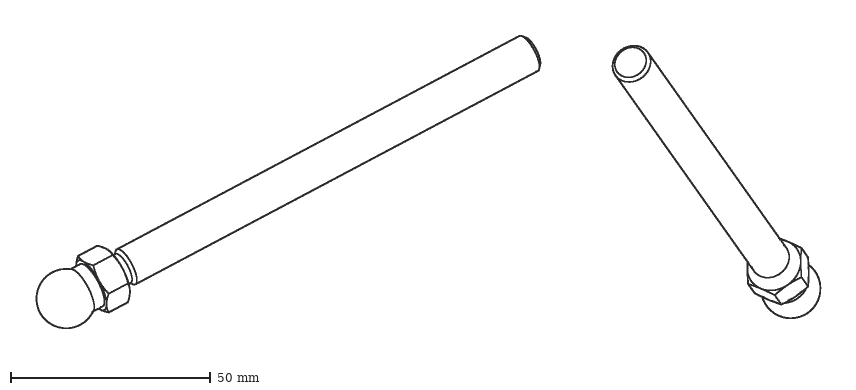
import cadquery as cq
import math

total_length = 147.0
ball_radius = 7.5
collar_radius = 6.0
hex_across_corners = 16.2
hex_length = 7.0
hex_front = 15.0
hex_chamfer_angle = 30.0
shaft_radius = 5.0
shaft_end_chamfer = 0.9
undercut_radius = 4.1
undercut_fillet = 0.7
undercut_length = 3.4

tip_y = -total_length / 2
end_y = total_length / 2
ball_y = tip_y + ball_radius
ball_seat_y = ball_y + math.sqrt(ball_radius**2 - collar_radius**2)
hex_front_y = tip_y + hex_front
hex_back_y = hex_front_y + hex_length
shaft_start_y = hex_back_y + undercut_length
taper_start_y = shaft_start_y - (shaft_radius - undercut_radius)
fillet_mid = undercut_fillet * (1 - math.sqrt(0.5))


def turned_body():
    """Revolved outline of the ball, collar, undercut and shaft."""
    outline = (
        cq.Workplane("XY")
        .moveTo(0, tip_y)
        .threePointArc((ball_radius, ball_y), (collar_radius, ball_seat_y))
        .lineTo(collar_radius, hex_back_y)
        .lineTo(undercut_radius + undercut_fillet, hex_back_y)
        .threePointArc(
            (undercut_radius + fillet_mid, hex_back_y + fillet_mid),
            (undercut_radius, hex_back_y + undercut_fillet),
        )
        .lineTo(undercut_radius, taper_start_y)
        .lineTo(shaft_radius, shaft_start_y)
        .lineTo(shaft_radius, end_y - shaft_end_chamfer)
        .lineTo(shaft_radius - shaft_end_chamfer, end_y)
        .lineTo(0, end_y)
        .close()
    )
    return outline.revolve(360, (0, 0), (0, 1))


def hexagon():
    """Hexagon with corners at +Z and -Z, its corners chamfered at both ends."""
    corner_radius = hex_across_corners / 2
    face_radius = corner_radius * math.cos(math.radians(30))
    chamfer_depth = (corner_radius - face_radius) * math.tan(math.radians(hex_chamfer_angle))
    prism = (
        cq.Workplane("XZ", origin=(0, hex_back_y, 0))
        .transformed(rotate=(0, 0, 90))
        .polygon(6, 2 * corner_radius)
        .extrude(hex_length)
    )
    envelope = (
        cq.Workplane("XY")
        .moveTo(0, hex_front_y)
        .lineTo(face_radius, hex_front_y)
        .lineTo(corner_radius, hex_front_y + chamfer_depth)
        .lineTo(corner_radius, hex_back_y - chamfer_depth)
        .lineTo(face_radius, hex_back_y)
        .lineTo(0, hex_back_y)
        .close()
        .revolve(360, (0, 0), (0, 1))
    )
    return prism.intersect(envelope)


result = turned_body().union(hexagon())